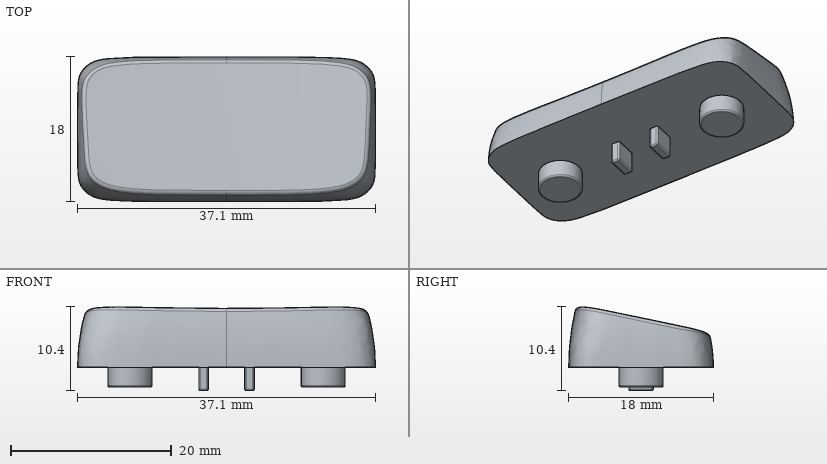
import cadquery as cq
import math

length = 37.05
width = 18.0
loft_height = 8.9
end_lean = 1.6
tall_side_lean = 1.3
low_side_lean = 2.2
base_squareness = 7.5
top_squareness = 4.9
outline_steps = 24
section_count = 4

dish_slope = 0.21
dish_middle = 5.75
dish_radius = 355.68
dish_reach = 37.05
rim_fillet = 0.52

post_diameter = 5.5
post_height = 2.45
post_spacing = 24.0
post_fillet = 0.22

leg_thickness = 1.2
leg_width = 3.05
leg_height = 2.9
leg_spacing = 5.7
leg_fillet = 0.22


def cap_section(z):
    """Superellipse outline of the cap at height z, as a right and a left half."""
    lean = (z / loft_height) ** 2
    half_x = length / 2 - end_lean * lean
    tall_y = -width / 2 + tall_side_lean * lean
    low_y = width / 2 - low_side_lean * lean
    middle_y = (tall_y + low_y) / 2
    half_y = (low_y - tall_y) / 2
    power = base_squareness + (top_squareness - base_squareness) * z / loft_height

    right_side = [cq.Vector(0, tall_y, z)]
    for i in range(1, outline_steps):
        angle = math.pi * i / outline_steps - math.pi / 2
        across = math.cos(angle)
        up = math.sin(angle)
        reach = (across**power + abs(up) ** power) ** (-1 / power)
        right_side.append(cq.Vector(half_x * across * reach, middle_y + half_y * up * reach, z))
    right_side.append(cq.Vector(0, low_y, z))
    left_side = [cq.Vector(-p.x, p.y, z) for p in reversed(right_side)]

    towards_right = cq.Vector(1, 0, 0)
    towards_left = cq.Vector(-1, 0, 0)
    right_edge = cq.Edge.makeSpline(right_side, [towards_right, towards_left])
    left_edge = cq.Edge.makeSpline(left_side, [towards_left, towards_right])
    return cq.Wire.assembleEdges([right_edge, left_edge])


def make_cap():
    heights = [loft_height * i / (section_count - 1) for i in range(section_count)]
    body = cq.Solid.makeLoft([cap_section(z) for z in heights])

    tilt = math.atan(dish_slope)
    along = cq.Vector(0, math.cos(tilt), -math.sin(tilt))
    normal = cq.Vector(0, math.sin(tilt), math.cos(tilt))
    start = cq.Vector(0, 0, dish_middle) + normal * dish_radius - along * dish_reach
    dish = cq.Solid.makeCylinder(dish_radius, 2 * dish_reach, start, along)

    cap = cq.Workplane(body).cut(cq.Workplane(dish))
    return cap.faces("%CYLINDER").edges().fillet(rim_fillet)


def make_posts():
    return (
        cq.Workplane("XY")
        .rarray(post_spacing, 0.37, 2, 1)
        .circle(post_diameter / 2)
        .extrude(-post_height)
        .faces("<Z")
        .edges()
        .fillet(post_fillet)
    )


def make_legs():
    return (
        cq.Workplane("XY")
        .rarray(leg_spacing, 0.37, 2, 1)
        .rect(leg_thickness, leg_width)
        .extrude(-leg_height)
        .edges("|Z or <Z")
        .fillet(leg_fillet)
    )


result = make_cap().union(make_posts()).union(make_legs())